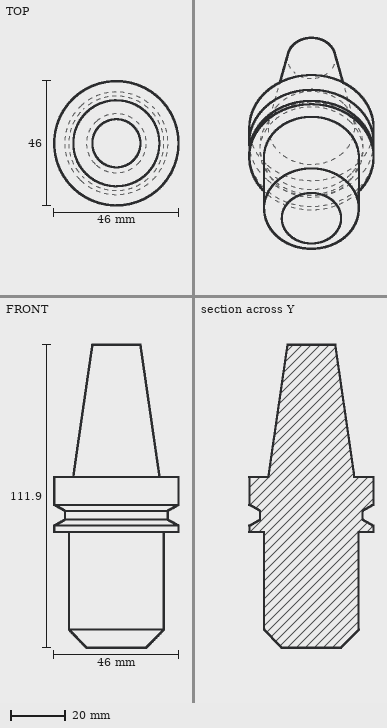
import cadquery as cq

flange_diameter = 46.0
groove_diameter = 38.0
taper_large_diameter = 31.8
taper_small_diameter = 17.8
nose_diameter = 35.0
nose_tip_diameter = 21.9

total_length = 111.9
nose_chamfer_length = 6.7
nose_length = 42.7
lower_rim_thickness = 2.3
groove_floor_width = 3.2
groove_flank_height = 2.2
upper_rim_thickness = 10.3
taper_collar_height = 0.6

lower_rim_top = nose_length + lower_rim_thickness
groove_floor_bottom = lower_rim_top + groove_flank_height
groove_floor_top = groove_floor_bottom + groove_floor_width
upper_rim_bottom = groove_floor_top + groove_flank_height
flange_top = upper_rim_bottom + upper_rim_thickness
taper_start = flange_top + taper_collar_height

section = [
    (nose_tip_diameter, 0),
    (nose_diameter, nose_chamfer_length),
    (nose_diameter, nose_length),
    (flange_diameter, nose_length),
    (flange_diameter, lower_rim_top),
    (groove_diameter, groove_floor_bottom),
    (groove_diameter, groove_floor_top),
    (flange_diameter, upper_rim_bottom),
    (flange_diameter, flange_top),
    (taper_large_diameter, flange_top),
    (taper_large_diameter, taper_start),
    (taper_small_diameter, total_length),
]
outline = [(diameter / 2, height) for diameter, height in section]

result = (
    cq.Workplane("XZ")
    .polyline([(0, 0)] + outline + [(0, total_length)])
    .close()
    .revolve(360, (0, 0, 0), (0, 1, 0))
)